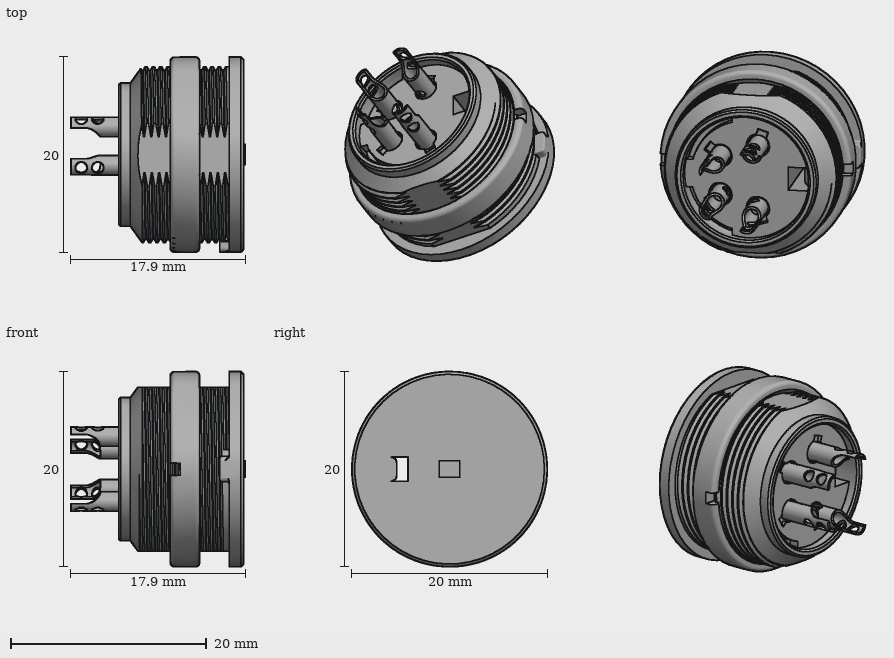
import cadquery as cq
import math


RIM_DIA = 14.7
RIM_LENGTH = 1.2
RIM_CHAMFER = 0.2
CONE_SLOPE = 54.0
THREAD_DIA = 18.0
FLAT_HALF_WIDTH = 8.4
FLANGE_DIA = 20.0
FLANGE_START = 11.3
FLANGE_LENGTH = 1.5
FLANGE_CHAMFER = 0.3
FLANGE_END = FLANGE_START + FLANGE_LENGTH

PITCH = 0.75
ROOT_DIA = 17.2
ROOT_WIDTH = 0.1
THREAD_ANGLE = 60.0
GROOVE_START = 2.05
GROOVE_TURNS = 12 - 13 / 360
GROOVE_OVERRUN = 0.1

NUT_START = 5.27
NUT_LENGTH = 3.0
NUT_BORE_DIA = 17.3
NUT_MOUTH_DIA = 18.3
NUT_FILLET = 0.45
NUT_SLOT_WIDTH = 1.25
NUT_SLOT_DEPTH = 1.0

TAB_LENGTH = 0.98
TAB_WIDTH = 2.6
TAB_SIDE_FILLET = 0.45
TAB_END_FILLET = 0.15
TAB_ROOT_FILLET = 0.15

BORE_DIA = 13.1
BORE_MOUTH_DIA = 13.5
INSERT_FACE = 1.1
POCKET_INNER_DIA = 11.8
POCKET_OUTER_DIA = BORE_DIA
POCKET_DEPTH = 1.0
POCKET_TAPER = 5.0
POCKET_MIN_Y = 1.6
POCKET_MIN_Z = 1.47

WINDOW_WIDTH = 2.44
WINDOW_INNER_Y = 4.25
WINDOW_OUTER_Y = BORE_DIA / 2
KEY_INNER_Y = 5.4
KEY_START = 3.0
KEY_EDGE_FILLET = 0.55
KEY_NOSE_RADIUS = 1.1

BOSS_HEIGHT = 0.15
BOSS_SIZE_Y = 2.08
BOSS_SIZE_Z = 1.68

CONTACT_ANGLES = (36, 108, 252, 324)
CONTACT_CIRCLE_DIA = 7.0
CONTACT_DIA = 2.0
CONTACT_BORE_DIA = 1.5
CONTACT_BORE_DEPTH = 6.1
CONTACT_TIP = -4.9
SEAT_DIA = 2.4
SEAT_DEPTH = 0.4
SEAT_NOTCH_WIDTH = 1.1
SEAT_NOTCH_REACH = 1.7
SEAT_NOTCH_FLOOR_REACH = 1.6
CUP_CUT_OFFSET = 0.5
CUP_STRAIGHT_LENGTH = 1.45
CUP_RADIUS = 1.6
CROSS_HOLE_DIA = 1.2
CROSS_HOLE_DISTANCES = (1.07, 2.76)
INSPECTION_HOLE_DIA = 1.0
INSPECTION_HOLE_DISTANCE = 5.42


def cylinder_x(diameter, start, end):
    return cq.Workplane("YZ", origin=(start, 0, 0)).circle(diameter / 2).extrude(end - start)


def box(x_range, y_range, z_range):
    size = [high - low for low, high in (x_range, y_range, z_range)]
    corner = (x_range[0], y_range[0], z_range[0])
    return cq.Workplane("XY", origin=corner).box(*size, centered=False)


def make_shell():
    rim_radius = RIM_DIA / 2
    thread_radius = THREAD_DIA / 2
    cone_length = (thread_radius - rim_radius) / math.tan(math.radians(CONE_SLOPE))
    barrel = (
        cq.Workplane("XY")
        .moveTo(0, 0)
        .lineTo(0, rim_radius - RIM_CHAMFER)
        .lineTo(RIM_CHAMFER, rim_radius)
        .lineTo(RIM_LENGTH, rim_radius)
        .lineTo(RIM_LENGTH + cone_length, thread_radius)
        .lineTo(FLANGE_START, thread_radius)
        .lineTo(FLANGE_START, 0)
        .close()
        .revolve(360, (0, 0, 0), (1, 0, 0))
    )
    flats = box((0, FLANGE_START), (-thread_radius, thread_radius), (-FLAT_HALF_WIDTH, FLAT_HALF_WIDTH))
    barrel = barrel.cut(make_thread_groove(), clean=False).intersect(flats, clean=False)
    return barrel.union(make_flange(), clean=False)


def make_thread_groove():
    """Right-handed V groove that starts on the -Y side."""
    root_radius = ROOT_DIA / 2
    outer_radius = THREAD_DIA / 2 + GROOVE_OVERRUN
    half_root = ROOT_WIDTH / 2
    half_mouth = half_root + (outer_radius - root_radius) * math.tan(math.radians(THREAD_ANGLE / 2))
    path = cq.Wire.makeHelix(PITCH, PITCH * GROOVE_TURNS, root_radius)
    groove = (
        cq.Workplane("XZ")
        .moveTo(root_radius, half_root)
        .lineTo(outer_radius, half_mouth)
        .lineTo(outer_radius, -half_mouth)
        .lineTo(root_radius, -half_root)
        .close()
        .sweep(cq.Workplane(path), isFrenet=True)
    )
    start = cq.Plane(origin=(GROOVE_START, 0, 0), xDir=(0, -1, 0), normal=(1, 0, 0))
    return cq.Workplane(groove.val().moved(cq.Location(start)))


def make_nut():
    nut_end = NUT_START + NUT_LENGTH
    bore_radius = NUT_BORE_DIA / 2
    mouth_radius = NUT_MOUTH_DIA / 2
    outer_radius = FLANGE_DIA / 2
    nut = (
        cq.Workplane("XY")
        .moveTo(NUT_START, mouth_radius)
        .lineTo(NUT_START, outer_radius)
        .lineTo(nut_end, outer_radius)
        .lineTo(nut_end, bore_radius)
        .lineTo(NUT_START + mouth_radius - bore_radius, bore_radius)
        .close()
        .revolve(360, (0, 0, 0), (1, 0, 0))
    )
    nut = nut.edges(cq.selectors.RadiusNthSelector(-1)).fillet(NUT_FILLET)
    slot = box(
        (NUT_START, NUT_START + NUT_SLOT_DEPTH),
        (-outer_radius, outer_radius),
        (-NUT_SLOT_WIDTH / 2, NUT_SLOT_WIDTH / 2),
    )
    return nut.cut(slot)


def make_flange():
    """Flange disc with the anti-rotation tab on its rear face."""
    tab_start = FLANGE_START - TAB_LENGTH
    half_width = TAB_WIDTH / 2
    tab = box((tab_start, FLANGE_START), (-FLANGE_DIA / 2, -ROOT_DIA / 2), (-half_width, half_width))
    tab = tab.intersect(cylinder_x(FLANGE_DIA, tab_start, FLANGE_START))
    tab = tab.edges("|X and (not >Y)").fillet(TAB_SIDE_FILLET)
    tab = tab.faces("<X").edges("not >Y").fillet(TAB_END_FILLET)
    disc = cylinder_x(FLANGE_DIA, FLANGE_START, FLANGE_END).faces(">X").edges().chamfer(FLANGE_CHAMFER)
    flange = disc.union(tab)
    tab_root = cq.selectors.BoxSelector(
        (FLANGE_START - 0.01, -FLANGE_DIA / 2 + TAB_SIDE_FILLET, -half_width - 0.01),
        (FLANGE_START + 0.01, -ROOT_DIA / 2 - 0.01, half_width + 0.01),
    )
    return flange.edges(tab_root).fillet(TAB_ROOT_FILLET)


def make_rear_cavity():
    mouth_chamfer = (BORE_MOUTH_DIA - BORE_DIA) / 2
    radius = BORE_DIA / 2
    return (
        cq.Workplane("XY")
        .lineTo(0, radius + mouth_chamfer)
        .lineTo(mouth_chamfer, radius)
        .lineTo(INSERT_FACE, radius)
        .lineTo(INSERT_FACE, 0)
        .close()
        .revolve(360, (0, 0, 0), (1, 0, 0))
    )


def make_arc_pockets():
    """Two arc-shaped pockets in the insert face, on the +Y side."""
    floor = INSERT_FACE + POCKET_DEPTH
    radius = POCKET_OUTER_DIA / 2
    mouth = cq.Workplane("YZ", origin=(INSERT_FACE, 0, 0)).circle(radius)
    disc = mouth.extrude(POCKET_DEPTH, taper=POCKET_TAPER)
    ring = disc.cut(cylinder_x(POCKET_INNER_DIA, INSERT_FACE, floor))
    depth_range = (INSERT_FACE, floor)
    upper = box(depth_range, (POCKET_MIN_Y, radius), (POCKET_MIN_Z, radius))
    lower = upper.mirror("XY")
    return ring.intersect(upper.union(lower))


def make_key_window():
    half_width = WINDOW_WIDTH / 2
    window = box(
        (INSERT_FACE, FLANGE_END), (-WINDOW_OUTER_Y, -WINDOW_INNER_Y), (-half_width, half_width)
    )
    window = window.intersect(cylinder_x(BORE_DIA, INSERT_FACE, FLANGE_END))
    key = box((KEY_START, FLANGE_END), (-WINDOW_OUTER_Y, -KEY_INNER_Y), (-half_width, half_width))
    nose = key.edges("|Z and <X and >Y").fillet(KEY_NOSE_RADIUS)
    key = key.edges("|X and >Y").fillet(KEY_EDGE_FILLET).intersect(nose)
    return window.cut(key)


def place_contact_feature(feature, angle):
    """Move a feature built at the axis, outward along +Y, to its place on the contact circle."""
    return feature.translate((0, CONTACT_CIRCLE_DIA / 2, 0)).rotate((0, 0, 0), (1, 0, 0), angle)


def make_contact_seat():
    floor = INSERT_FACE + SEAT_DEPTH
    notch = (
        cq.Workplane("XY")
        .moveTo(INSERT_FACE, CONTACT_DIA / 2)
        .lineTo(INSERT_FACE, SEAT_NOTCH_REACH)
        .lineTo(floor, SEAT_NOTCH_FLOOR_REACH)
        .lineTo(floor, CONTACT_DIA / 2)
        .close()
        .extrude(SEAT_NOTCH_WIDTH / 2, both=True)
    )
    return cylinder_x(SEAT_DIA, INSERT_FACE, floor).union(notch)


def make_contact():
    """Hollow solder-cup contact on the X axis; its open side faces -Y."""
    radius = CONTACT_DIA / 2
    contact = cylinder_x(CONTACT_DIA, CONTACT_TIP, INSERT_FACE + SEAT_DEPTH)
    contact = contact.cut(cylinder_x(CONTACT_BORE_DIA, CONTACT_TIP, CONTACT_TIP + CONTACT_BORE_DEPTH))

    drop = CUP_CUT_OFFSET + radius
    arc_start = CONTACT_TIP + CUP_STRAIGHT_LENGTH
    arc_centre_y = CUP_CUT_OFFSET - CUP_RADIUS
    arc_run = math.sqrt(CUP_RADIUS**2 - (CUP_RADIUS - drop) ** 2)
    arc_mid = CUP_RADIUS * math.sqrt(0.5)
    cup_cut = (
        cq.Workplane("XY")
        .moveTo(CONTACT_TIP, -radius)
        .lineTo(CONTACT_TIP, CUP_CUT_OFFSET)
        .lineTo(arc_start, CUP_CUT_OFFSET)
        .threePointArc((arc_start + arc_mid, arc_centre_y + arc_mid), (arc_start + arc_run, -radius))
        .close()
        .extrude(radius, both=True)
    )
    contact = contact.cut(cup_cut)

    for distance in CROSS_HOLE_DISTANCES:
        contact = contact.cut(make_side_hole(CROSS_HOLE_DIA, distance, radius))
    return contact.cut(make_side_hole(INSPECTION_HOLE_DIA, INSPECTION_HOLE_DISTANCE, -radius))


def make_side_hole(diameter, distance, reach):
    """Hole from the contact axis outwards along Y, at a distance from the tip."""
    workplane = cq.Workplane("XZ", origin=(CONTACT_TIP + distance, 0, 0))
    return workplane.circle(diameter / 2).extrude(-reach)


def make_boss():
    return box(
        (FLANGE_END, FLANGE_END + BOSS_HEIGHT),
        (-BOSS_SIZE_Y / 2, BOSS_SIZE_Y / 2),
        (-BOSS_SIZE_Z / 2, BOSS_SIZE_Z / 2),
    )


def make_connector():
    """The threaded shell comes last, so that its many faces take part in few operations."""
    recesses = make_rear_cavity().union(make_arc_pockets()).union(make_key_window())
    contacts = cq.Workplane("XY")
    for angle in CONTACT_ANGLES:
        recesses = recesses.union(place_contact_feature(make_contact_seat(), angle))
        contacts = contacts.add(place_contact_feature(make_contact(), angle))
    contacts = contacts.combine()
    part = make_shell().cut(recesses, clean=False)
    for addition in (make_nut(), make_boss(), contacts):
        part = part.union(addition, clean=False)
    return part


result = make_connector()